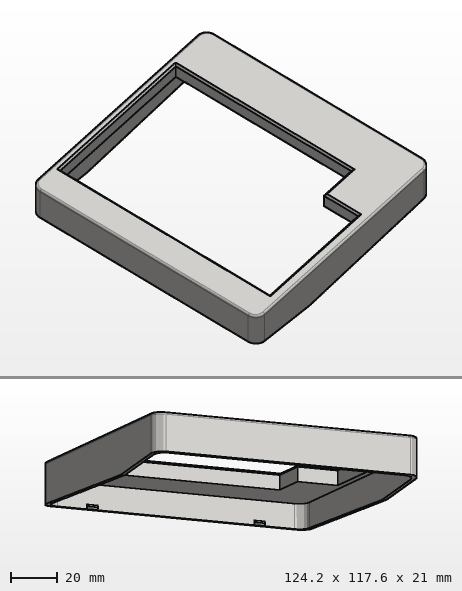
import cadquery as cq

length = 124.2
width = 117.6
height = 21.0
corner_radius = 5.0
top_edge_radius = 1.0

front_depth = 17.3
back_depth = 18.4
ridge_from_front = 35.4

plate_thickness = 7.5
wall = 1.9
cavity_corner_radius = 4.7

margin_left = 4.0
margin_right = 5.1
margin_front = 15.0
margin_back = 24.6
step_from_left = 100.3
step_from_back = 43.1
rim_chamfer = 1.0

snap_length = 5.0
snap_height = 1.0
snap_reach = 0.7
snap_from_side = 23.0

left = -length / 2
right = length / 2
front = -width / 2
back = width / 2


def make_body():
    """Rounded block with a rounded top edge and a two-slope underside."""
    block = cq.Workplane("XY").rect(length, width).extrude(height)
    block = block.edges("|Z").fillet(corner_radius)
    block = block.faces(">Z").edges().fillet(top_edge_radius)
    side_profile = [
        (front, height),
        (back, height),
        (back, height - back_depth),
        (front + ridge_from_front, 0),
        (front, height - front_depth),
    ]
    envelope = cq.Workplane("YZ").polyline(side_profile).close().extrude(length / 2, both=True)
    return block.intersect(envelope)


def make_cavity():
    """Space inside the walls, open at the bottom."""
    cavity = cq.Workplane("XY").rect(length - 2 * wall, width - 2 * wall)
    return cavity.extrude(height - plate_thickness).edges("|Z").fillet(cavity_corner_radius)


def make_window():
    """Opening through the plate, with one stepped corner and a chamfered rim."""
    outline = [
        (left + margin_left, front + margin_front),
        (right - margin_right, front + margin_front),
        (right - margin_right, back - step_from_back),
        (left + step_from_left, back - step_from_back),
        (left + step_from_left, back - margin_back),
        (left + margin_left, back - margin_back),
    ]
    opening = cq.Workplane("XY").polyline(outline).close().extrude(height)
    rim_base = cq.Workplane("XY").workplane(offset=height - rim_chamfer).polyline(outline).close()
    rim_wire = rim_base.wires().val().offset2D(rim_chamfer, "intersection")[0]
    rim_wire = rim_wire.translate(cq.Vector(0, 0, rim_chamfer))
    rim = cq.Solid.makeLoft([rim_base.wires().val(), rim_wire], True)
    return opening.union(cq.Workplane(obj=rim))


def make_snap(center_x):
    """Triangular ridge that projects from the back wall near its lower edge."""
    inner_face = back - wall
    bottom = height - back_depth
    profile = [
        (inner_face + wall / 2, bottom),
        (inner_face, bottom),
        (inner_face - snap_reach, bottom + snap_height),
        (inner_face, bottom + 2 * snap_height),
        (inner_face + wall / 2, bottom + 2 * snap_height),
    ]
    ridge = cq.Workplane("YZ").polyline(profile).close().extrude(snap_length / 2, both=True)
    return ridge.translate((center_x, 0, 0))


result = make_body().cut(make_cavity()).cut(make_window())
for snap_x in (left + snap_from_side, right - snap_from_side):
    result = result.union(make_snap(snap_x))